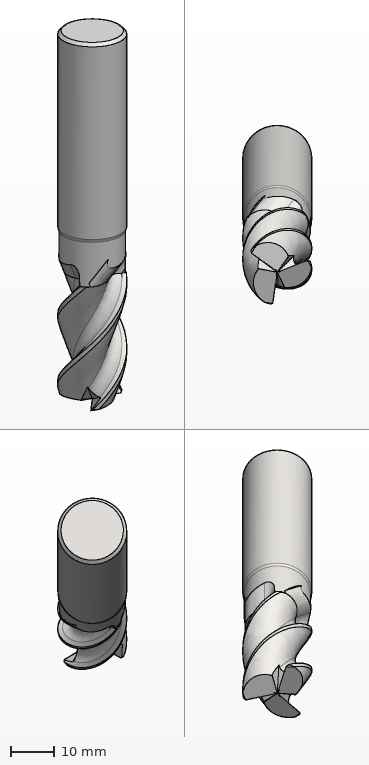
import math

import cadquery as cq

total_length = 92.0
head_length = 31.0
cutting_radius = 8.0
neck_radius = 7.75
neck_top = 42.2
neck_cone_height = 0.8
shank_chamfer = 0.8
corner_chamfer = 0.5

tooth_count = 3
tooth_pitch = 360.0 / tooth_count
helix_angle = 45.0
helix_lead = 2 * math.pi * cutting_radius / math.tan(math.radians(helix_angle))
first_edge = 178.0

land_angle = 10.0
back_middle_radius, back_middle_angle = 6.3, 45.0
root_radius, root_angle = 4.4, 81.0
rake_radius, rake_angle = 6.85, 117.0
clearance_radius = 12.0

runout_height = 12.0
runout_tilt = 38.5
runout_turn = 41.0

end_relief_angle = 13.0
end_relief_span = 92.0
tip_clearance = 1.0
gash_reach = 10.0
gash_outline = [(0, 0), (3.4, 4.4), (-1.9, 10.4), (-6.0, 3.5), (-6.0, -tip_clearance), (0, -tip_clearance)]


def polar(radius, angle):
    return (radius * math.cos(math.radians(angle)), radius * math.sin(math.radians(angle)))


def about_axis(shape, angle):
    return shape.rotate((0, 0, 0), (0, 0, 1), angle)


def flute_outline(edge_angle, height):
    """Closed flute section behind the cutting edge at edge_angle."""

    def point(radius, angle):
        return polar(radius, edge_angle + angle)

    return (
        cq.Workplane("XY", origin=(0, 0, height))
        .moveTo(*point(cutting_radius, land_angle))
        .threePointArc(point(back_middle_radius, back_middle_angle), point(root_radius, root_angle))
        .tangentArcPoint(point(rake_radius, rake_angle), relative=False)
        .lineTo(*point(cutting_radius, tooth_pitch))
        .lineTo(*point(clearance_radius, tooth_pitch))
        .lineTo(*point(clearance_radius, (land_angle + tooth_pitch) / 2))
        .lineTo(*point(clearance_radius, land_angle))
        .close()
    )


def pyramid(base):
    """Pyramid from the tip centre to a base polygon."""
    tip = cq.Vector(0, 0, 0)
    base = [cq.Vector(*p) for p in base]
    faces = [cq.Face.makeFromWires(cq.Wire.makePolygon(base, close=True))]
    for start, end in zip(base, base[1:] + base[:1]):
        faces.append(cq.Face.makeFromWires(cq.Wire.makePolygon([tip, start, end], close=True)))
    return cq.Workplane(cq.Solid.makeSolid(cq.Shell.makeShell(faces)).fix())


def end_relief():
    """Space under the end of a tooth whose edge lies along +X."""
    rise = clearance_radius * math.tan(math.radians(end_relief_angle))
    wedge = (
        cq.Workplane("YZ")
        .polyline([(0, 0), (clearance_radius, rise), (clearance_radius, -tip_clearance), (0, -tip_clearance)])
        .close()
        .extrude(clearance_radius, both=True)
    )
    x, y = polar(2 * clearance_radius, end_relief_span)
    sector = (
        cq.Workplane("XY", origin=(0, 0, -tip_clearance))
        .polyline([(0, 0), (2 * clearance_radius, 0), (2 * clearance_radius, y), (x, y)])
        .close()
        .extrude(clearance_radius)
    )
    return wedge.intersect(sector)


def end_gash():
    """Gash in front of a tooth whose edge lies along +X."""
    return pyramid([(gash_reach, offset, height) for offset, height in gash_outline])


def make_head():
    head = cq.Workplane("XY").circle(cutting_radius).extrude(head_length).faces("<Z").chamfer(corner_chamfer)
    twist = 360.0 * head_length / helix_lead
    flute = flute_outline(first_edge, 0).twistExtrude(head_length, twist)
    relief = end_relief()
    gash = end_gash()
    for tooth in range(tooth_count):
        head = head.cut(about_axis(flute, tooth * tooth_pitch))
    for tooth in range(tooth_count):
        edge = first_edge + tooth * tooth_pitch
        head = head.cut(about_axis(relief, edge)).cut(about_axis(gash, edge))
    return head


def make_shank():
    shoulder = neck_top + neck_cone_height
    shank = (
        cq.Workplane("XZ")
        .moveTo(0, head_length)
        .lineTo(neck_radius, head_length)
        .lineTo(neck_radius, neck_top)
        .lineTo(cutting_radius, shoulder)
        .lineTo(cutting_radius, total_length - shank_chamfer)
        .lineTo(cutting_radius - shank_chamfer, total_length)
        .lineTo(0, total_length)
        .close()
        .revolve(360, (0, 0, 0), (0, 1, 0))
    )
    edge_at_joint = first_edge + 360.0 * head_length / helix_lead
    lean = runout_height * math.tan(math.radians(runout_tilt))
    path = cq.Vector(*polar(lean, edge_at_joint + root_angle + runout_turn), runout_height)
    outline = flute_outline(edge_at_joint, head_length).val()
    runout = cq.Workplane(cq.Solid.extrudeLinear(outline, [], path))
    for tooth in range(tooth_count):
        shank = shank.cut(about_axis(runout, tooth * tooth_pitch))
    return shank


head = make_head()
shank = make_shank()
result = cq.Compound.makeCompound([head.val(), shank.val()])